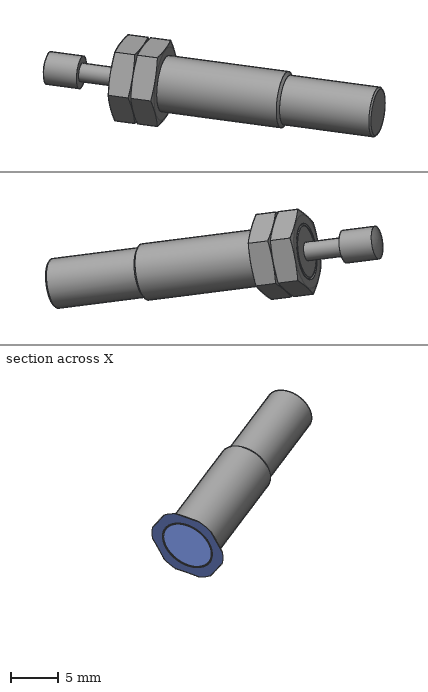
import cadquery as cq
import math

total_length = 36.8

button_diameter = 3.5
button_end = 4.0
dome_height = 0.35
rod_diameter = 2.0

barrel_start = 8.28
seat_diameter = 5.7
barrel_diameter = 6.0
barrel_face_diameter = 5.45
tail_start = 26.75
shoulder_length = 0.25
tail_diameter = 5.3
tail_chamfer = 0.2

nut_count = 2
nut_thickness = 2.5
nut_across_flats = 8.0
nut_face_diameter = 7.8
nut_chamfer_depth = 0.15
countersink_diameter = barrel_diameter

seat_end = barrel_start + nut_count * nut_thickness


def make_absorber():
    """Turned body: plunger and barrel revolved from one half profile."""
    button_radius = button_diameter / 2
    rod_radius = rod_diameter / 2
    barrel_radius = barrel_diameter / 2
    tail_radius = tail_diameter / 2
    seat_radius = seat_diameter / 2
    face_radius = barrel_face_diameter / 2
    face_chamfer = seat_radius - face_radius

    dome_radius = (button_radius**2 + dome_height**2) / (2 * dome_height)
    half_angle = math.asin(button_radius / dome_radius) / 2
    dome_middle = (dome_radius * (1 - math.cos(half_angle)), dome_radius * math.sin(half_angle))

    profile = (
        cq.Workplane("XY")
        .moveTo(0, 0)
        .threePointArc(dome_middle, (dome_height, button_radius))
        .lineTo(button_end, button_radius)
        .lineTo(button_end, rod_radius)
        .lineTo(barrel_start, rod_radius)
        .lineTo(barrel_start, face_radius)
        .lineTo(barrel_start + face_chamfer, seat_radius)
        .lineTo(seat_end, seat_radius)
        .lineTo(seat_end, barrel_radius)
        .lineTo(tail_start - shoulder_length, barrel_radius)
        .lineTo(tail_start, tail_radius)
        .lineTo(total_length - tail_chamfer, tail_radius)
        .lineTo(total_length, tail_radius - tail_chamfer)
        .lineTo(total_length, 0)
        .close()
    )
    return profile.revolve(360, (0, 0, 0), (1, 0, 0))


def make_bore(start):
    """Hole through a nut, countersunk at 45 degrees on both faces."""
    bore_radius = seat_diameter / 2
    countersink_radius = countersink_diameter / 2
    countersink_depth = countersink_radius - bore_radius
    end = start + nut_thickness
    return (
        cq.Workplane("XY")
        .moveTo(start, 0)
        .lineTo(start, countersink_radius)
        .lineTo(start + countersink_depth, bore_radius)
        .lineTo(end - countersink_depth, bore_radius)
        .lineTo(end, countersink_radius)
        .lineTo(end, 0)
        .close()
        .revolve(360, (0, 0, 0), (1, 0, 0))
    )


def make_nut(start):
    """Hexagon nut with both faces chamfered, bored to fit the barrel seat."""
    across_corners = nut_across_flats / math.cos(math.radians(30))
    corner_radius = across_corners / 2
    face_radius = nut_face_diameter / 2
    end = start + nut_thickness

    hexagon = cq.Workplane("YZ", origin=(start, 0, 0)).polygon(6, across_corners).extrude(nut_thickness)
    chamfer_envelope = (
        cq.Workplane("XY")
        .moveTo(start, 0)
        .lineTo(start, face_radius)
        .lineTo(start + nut_chamfer_depth, corner_radius)
        .lineTo(end - nut_chamfer_depth, corner_radius)
        .lineTo(end, face_radius)
        .lineTo(end, 0)
        .close()
        .revolve(360, (0, 0, 0), (1, 0, 0))
    )
    return hexagon.intersect(chamfer_envelope).cut(make_bore(start))


absorber = make_absorber()
nuts = [make_nut(barrel_start + index * nut_thickness) for index in range(nut_count)]

result = cq.Compound.makeCompound([absorber.val(), *[nut.val() for nut in nuts]])